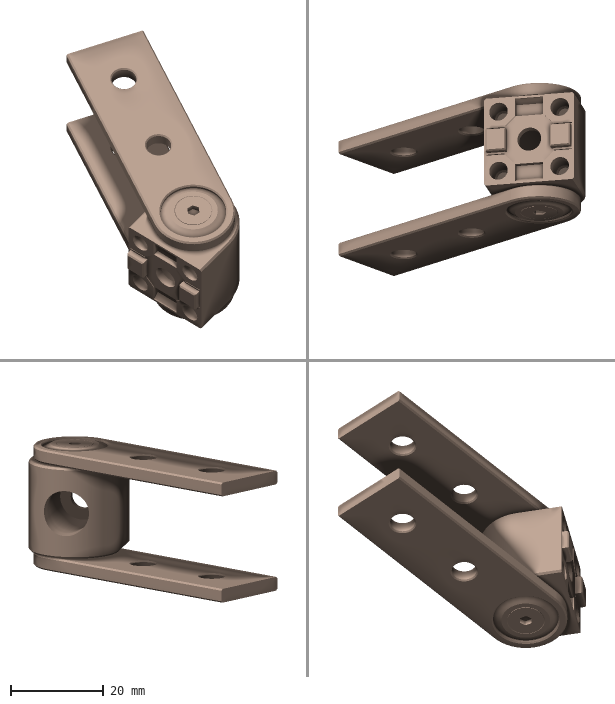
import cadquery as cq

block_width = 20.0
block_chamfer = 0.4
arm_thickness = 3.05
arm_width = 18.0
arm_reach = 51.0
arm_angle = 30
arm_chamfer = 0.35
arm_gap = 0.25
arm_hole_radius = 2.7
arm_hole_pitch = 20.0
bore_radius = 7.1
hole_chamfer = 0.3

bolt_hole_radius = 2.65
counterbore_radius = 5.0
web_depth = 2.0

corner_hole_offset = 6.8
corner_hole_radius = 2.05
corner_hole_inner_radius = 1.8
corner_hole_taper_depth = 4.7
corner_hole_floor_radius = 1.4
corner_hole_cone_depth = 0.4

recess_depth = 0.2
recess_half = 5.5
pocket_depth = 1.45
pocket_half_width = 3.1
pocket_outer = 9.5
pocket_lip = 0.3
pocket_floor_outer = 8.5

key_foot_half_width = 2.95
key_head_half_width = 2.5
key_head_inner = 4.9
key_head_outer = 9.4
key_height = 1.45
key_chamfer = 0.3

cap_top_radius = 5.3
cap_proud = 0.205
cap_cone_height = 1.0
screw_radius = 4.0
screw_hole_chamfer = 0.1
hex_diameter = 2.9
hex_depth = 1.25
hex_turn = 15

half_block = block_width / 2
face_y = -half_block
pocket_y = face_y + pocket_depth
arm_inner_z = half_block + arm_gap
arm_outer_z = arm_inner_z + arm_thickness
cap_top_z = arm_outer_z + cap_proud
cap_thickness = cap_top_z - half_block


def y_cylinder(radius, start_y, end_y):
    """Cylinder along Y between two places on the hinge's Y axis."""
    return cq.Workplane("XZ", origin=(0, start_y, 0)).circle(radius).extrude(start_y - end_y)


def bolt_hole():
    """Through hole along Y with a deep counterbore from the rounded back, leaving a thin front web."""
    hole = y_cylinder(bolt_hole_radius, -block_width, block_width)
    return hole.union(y_cylinder(counterbore_radius, face_y + web_depth, block_width))


def pocket_profile_solid(half_width):
    """Pocket shape on the +X side: flat floor, slanted outer end and a straight lip."""
    return (
        cq.Workplane("XY", origin=(0, 0, -half_width))
        .moveTo(recess_half, face_y)
        .lineTo(pocket_outer, face_y)
        .lineTo(pocket_outer, face_y + pocket_lip)
        .lineTo(pocket_floor_outer, pocket_y)
        .lineTo(recess_half, pocket_y)
        .close()
        .extrude(2 * half_width)
    )


def octagon_recess():
    """Recess with a flat toward each pocket and a slanted side toward each corner hole."""
    square = cq.Workplane("XZ", origin=(0, face_y, 0)).rect(2 * recess_half, 2 * recess_half)
    corner_cut = recess_half - pocket_half_width
    return square.extrude(-recess_depth).edges("|Y").chamfer(corner_cut)


def corner_hole(x, z):
    """Blind hole in the mounting face: a slight taper, then a short cone to a flat floor."""
    taper_end = corner_hole_taper_depth
    floor = taper_end + corner_hole_cone_depth
    return (
        cq.Workplane("XY")
        .moveTo(0, 0)
        .lineTo(corner_hole_radius, 0)
        .lineTo(corner_hole_inner_radius, taper_end)
        .lineTo(corner_hole_floor_radius, floor)
        .lineTo(0, floor)
        .close()
        .revolve(360, (0, 0, 0), (0, 1, 0))
        .translate((x, face_y, z))
    )


def make_block():
    block = (
        cq.Workplane("XY", origin=(0, 0, -half_block))
        .moveTo(-half_block, face_y)
        .lineTo(half_block, face_y)
        .lineTo(half_block, 0)
        .threePointArc((0, half_block), (-half_block, 0))
        .close()
        .extrude(block_width)
    )
    block = block.faces("|Z").edges("not(<Y)").chamfer(block_chamfer)
    block = block.cut(bolt_hole())
    block = block.cut(octagon_recess())
    for quarter in range(4):
        pocket = pocket_profile_solid(pocket_half_width)
        block = block.cut(pocket.rotate((0, 0, 0), (0, 1, 0), 90 * quarter))
    for x in (-corner_hole_offset, corner_hole_offset):
        for z in (-corner_hole_offset, corner_hole_offset):
            block = block.cut(corner_hole(x, z))
    return block


def make_key():
    """Locating key on the +X side: a foot in the pocket and a head that overhangs the recess."""
    foot = pocket_profile_solid(key_foot_half_width)
    head_length = key_head_outer - key_head_inner
    head = (
        cq.Workplane("XZ", origin=((key_head_inner + key_head_outer) / 2, face_y, 0))
        .rect(head_length, 2 * key_head_half_width)
        .extrude(key_height)
        .faces("<Y").edges().chamfer(key_chamfer)
    )
    overhang = (
        cq.Workplane("XY", origin=(key_head_inner, face_y, -key_head_half_width))
        .rect(recess_half - key_head_inner, recess_depth, centered=False)
        .extrude(2 * key_head_half_width)
    )
    return foot.union(head).union(overhang)


def make_arm():
    """Upper arm, built along -X and swung about the hinge axis."""
    half_width = arm_width / 2
    arm = (
        cq.Workplane("XY", origin=(0, 0, arm_inner_z))
        .moveTo(-arm_reach, -half_width)
        .lineTo(0, -half_width)
        .threePointArc((half_width, 0), (0, half_width))
        .lineTo(-arm_reach, half_width)
        .close()
        .extrude(arm_thickness)
    )
    arm = arm.faces("|Z").edges("not(<X)").chamfer(arm_chamfer)
    holes = (
        cq.Workplane("XY", origin=(0, 0, arm_inner_z))
        .pushPoints([(-arm_hole_pitch, 0), (-2 * arm_hole_pitch, 0)])
        .circle(arm_hole_radius)
        .extrude(arm_thickness)
    )
    arm = arm.cut(holes)
    arm = arm.faces("|Z").edges(cq.selectors.RadiusNthSelector(0)).chamfer(hole_chamfer)
    bore = (
        cq.Workplane("XY", origin=(0, 0, arm_inner_z))
        .circle(bore_radius)
        .extrude(arm_thickness)
        .union(
            cq.Workplane("XY", origin=(0, 0, arm_outer_z - hole_chamfer))
            .circle(bore_radius)
            .workplane(offset=hole_chamfer)
            .circle(bore_radius + hole_chamfer)
            .loft(combine=True)
        )
    )
    return arm.cut(bore).rotate((0, 0, 0), (0, 0, 1), -arm_angle)


def make_cap():
    """Conical cap resting on the block inside the arm bore, with a hole for the screw."""
    return (
        cq.Workplane("XZ")
        .moveTo(screw_radius, half_block)
        .lineTo(bore_radius, half_block)
        .lineTo(bore_radius, cap_top_z - cap_cone_height)
        .lineTo(cap_top_radius, cap_top_z)
        .lineTo(screw_radius + screw_hole_chamfer, cap_top_z)
        .lineTo(screw_radius, cap_top_z - screw_hole_chamfer)
        .close()
        .revolve(360, (0, 0, 0), (0, 1, 0))
    )


def make_screw():
    """Screw filling the cap hole, with a hexagon socket."""
    screw = cq.Workplane("XY", origin=(0, 0, half_block)).circle(screw_radius).extrude(cap_thickness)
    socket = (
        cq.Workplane("XY", origin=(0, 0, cap_top_z - hex_depth))
        .polygon(6, hex_diameter)
        .extrude(hex_depth)
        .rotate((0, 0, 0), (0, 0, 1), hex_turn)
    )
    return screw.cut(socket)


block = make_block()

right_key = make_key()
keys = [key.val() for key in (right_key, right_key.mirror("YZ"))]

hinge_parts = []
for upper_part in (make_arm(), make_cap(), make_screw()):
    for part in (upper_part, upper_part.mirror("XY")):
        hinge_parts.append(part.val())

result = cq.Compound.makeCompound([block.val(), *keys, *hinge_parts])